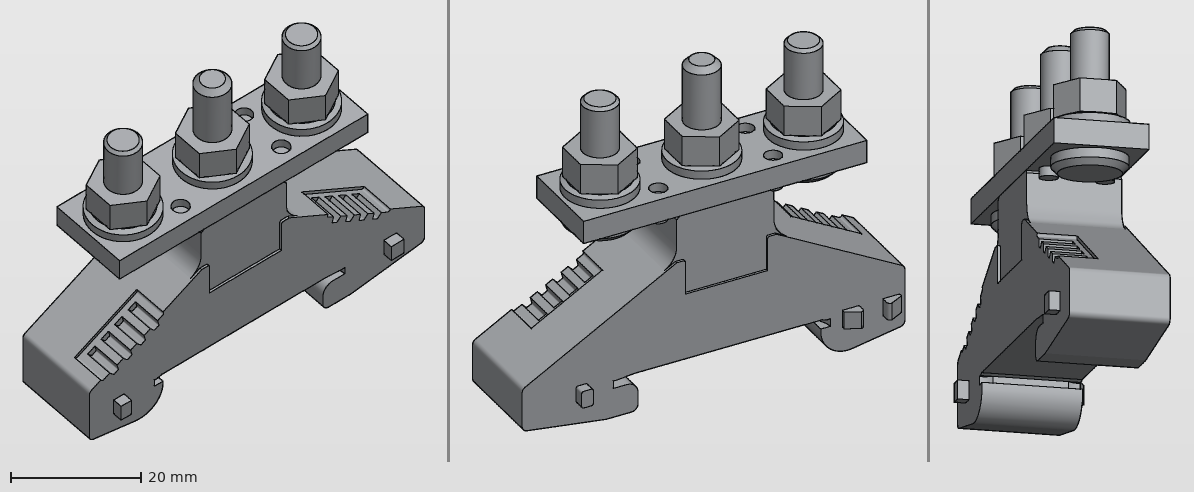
import cadquery as cq
import math

housing_width = 16.0
front_y = -31.2
back_y = 35.8
ridge_height = 29.5
slope_angle = 28.9
shoulder_z = 24.65
corner_radius = 1.0

recess_roof_z = 6.85
slot_top_z = 6.55
slot_floor_z = 5.2
front_slot_y = -17.5
back_slot_y = 19.15
front_roof_end_y = -16.75
back_roof_end_y = 16.1
slot_flare_depth = 0.7
slot_flare_length = 2.0

front_hook_y = -16.5
front_hook_radius = 4.7
front_sole_angle = 9.7
back_hook_y = 15.5
back_hook_upper_radius = 2.0
back_hook_lower_radius = 1.2
back_sole_y = 21.1
back_corner_z = 2.15

neck_half_length = 8.5
neck_fillet = 4.15
neck_chamfer = 0.55
side_recess_half_length = 7.2
side_recess_z = 18.55
side_recess_radius = 0.4

pocket_start_y = 16.5
pocket_length = 14.2
pocket_depth = 0.55
pocket_x = 1.7
pocket_radius = 0.4
groove_count = 4
groove_start = 1.55
groove_pitch = 3.1
groove_width = 1.7
groove_depth = 1.15
groove_x = 2.7
groove_draft = 15.0
groove_radius = 0.2

tab_reach = 1.8
tab_low_z = 4.5
tab_height = 3.0
round_tab_y = 25.3
round_tab_length = 2.1
round_tab_radius = 0.4
square_tabs = [(28.9, 2.55), (-25.3, 2.1)]
latch_middle_y = -25.25
latch_gap = 4.15
latch_length = 2.95
latch_shoulder = 0.6
latch_radius = 0.6

plate_width = 15.15
plate_length = 49.6
plate_low_z = 32.6
plate_thickness = 4.0
peg_x = 4.5
peg_y = 10.05
peg_radius = 1.5
peg_height = 1.55

stud_spacing = 17.8
stud_radius = 3.0
outer_stud_top = 52.7
outer_stud_chamfer = 0.55
centre_stud_top = 54.55
centre_stud_chamfer = 1.0
nut_flats = 10.0
nut_height = 5.3
washer_radius = 6.15
washer_top_radius = 5.2
washer_rim_height = 1.5
outer_washer_height = 1.9
centre_washer_height = 1.7
head_radius = 6.0
head_height = 2.55
head_chamfer = 1.0

half_width = housing_width / 2
neck_half_width = plate_width / 2
plate_top_z = plate_low_z + plate_thickness
slope = math.radians(slope_angle)


def roof_z(y):
    """Height of the housing's sloping roof at a given Y."""
    return ridge_height - abs(y) * math.tan(slope)


def roof_y(z):
    """Distance from Y = 0 at which the sloping roof reaches a given height."""
    return (ridge_height - z) / math.tan(slope)


def housing_block():
    """Saddle outline with a hook at each end of the rail recess."""
    sole = math.radians(front_sole_angle)
    arc_y = front_hook_y - front_hook_radius
    arc_z = front_hook_radius

    def on_front_hook(angle):
        return (arc_y + front_hook_radius * math.sin(angle), arc_z - front_hook_radius * math.cos(angle))

    sole_start = on_front_hook(-sole)
    front_corner_z = sole_start[1] + (sole_start[0] - front_y) * math.tan(sole)
    block = (
        cq.Workplane("YZ", origin=(-half_width, 0, 0))
        .moveTo(front_y, front_corner_z)
        .lineTo(*sole_start)
        .threePointArc(on_front_hook(math.pi / 4), (front_hook_y, front_hook_radius))
        .lineTo(front_hook_y, slot_floor_z)
        .lineTo(front_slot_y, slot_floor_z)
        .lineTo(front_slot_y, slot_top_z)
        .lineTo(front_roof_end_y, recess_roof_z)
        .lineTo(back_roof_end_y, recess_roof_z)
        .lineTo(back_slot_y, slot_top_z)
        .lineTo(back_slot_y, slot_floor_z)
        .lineTo(back_hook_y + back_hook_upper_radius, slot_floor_z)
        .radiusArc((back_hook_y, slot_floor_z - back_hook_upper_radius), -back_hook_upper_radius)
        .lineTo(back_hook_y, back_hook_lower_radius)
        .radiusArc((back_hook_y + back_hook_lower_radius, 0), -back_hook_lower_radius)
        .lineTo(back_sole_y, 0)
        .lineTo(back_y, back_corner_z)
        .lineTo(back_y, roof_z(back_y))
        .lineTo(roof_y(shoulder_z), shoulder_z)
        .lineTo(-roof_y(shoulder_z), shoulder_z)
        .lineTo(front_y, roof_z(front_y))
        .close()
        .extrude(housing_width)
    )
    return block.edges("|X and (<Y or >Y)").fillet(corner_radius)


def neck():
    """Block under the plate, blended into both slopes by concave fillets."""
    corner_z = roof_z(neck_half_length)
    tangent = neck_fillet * math.tan((math.pi / 2 - slope) / 2)
    foot_y = neck_half_length + tangent * math.cos(slope)
    foot_z = corner_z - tangent * math.sin(slope)
    return (
        cq.Workplane("YZ", origin=(-neck_half_width, 0, 0))
        .moveTo(-foot_y, foot_z)
        .lineTo(foot_y, foot_z)
        .radiusArc((neck_half_length, corner_z + tangent), neck_fillet)
        .lineTo(neck_half_length, plate_low_z - neck_chamfer)
        .lineTo(neck_half_length - neck_chamfer, plate_low_z)
        .lineTo(-neck_half_length + neck_chamfer, plate_low_z)
        .lineTo(-neck_half_length, plate_low_z - neck_chamfer)
        .lineTo(-neck_half_length, corner_z + tangent)
        .radiusArc((-foot_y, foot_z), neck_fillet)
        .close()
        .extrude(plate_width)
    )


def side_recess():
    """Shallow recess that continues the -X flank of the neck down into the housing."""
    half = side_recess_half_length
    radius = side_recess_radius
    return (
        cq.Workplane("YZ", origin=(-half_width, 0, 0))
        .moveTo(-half - radius, shoulder_z)
        .radiusArc((-half, shoulder_z - radius), radius)
        .lineTo(-half, side_recess_z)
        .lineTo(half, side_recess_z)
        .lineTo(half, shoulder_z - radius)
        .radiusArc((half + radius, shoulder_z), radius)
        .close()
        .extrude(half_width - neck_half_width)
    )


def slot_flare(wall_y, direction):
    """Rounded widening of a rail slot's end wall towards the -X side."""
    radius = (slot_flare_length**2 + slot_flare_depth**2) / (2 * slot_flare_depth)
    return (
        cq.Workplane("XY", origin=(0, 0, slot_floor_z))
        .moveTo(-half_width, wall_y)
        .lineTo(-half_width + slot_flare_length, wall_y)
        .radiusArc((-half_width, wall_y + direction * slot_flare_depth), -direction * radius)
        .close()
        .extrude(slot_top_z - slot_floor_z)
    )


def pocket_recess():
    """Flat cutter for the pocket: its length runs along -Y from 0, its depth along -Z from 0."""
    return (
        cq.Workplane("XY")
        .box(half_width - pocket_x, pocket_length, pocket_depth, centered=False)
        .edges("|X and <Z")
        .fillet(pocket_radius)
        .translate((pocket_x, -pocket_length, -pocket_depth))
    )


def groove(start):
    """Flat cutter for one groove with drafted walls, sunk into the pocket floor."""
    draft_run = groove_depth * math.tan(math.radians(groove_draft))
    end = start + groove_width
    floor = -pocket_depth - groove_depth
    return (
        cq.Workplane("YZ", origin=(groove_x, 0, 0))
        .moveTo(-start, -pocket_depth)
        .lineTo(-start - draft_run, floor)
        .lineTo(-end + draft_run, floor)
        .lineTo(-end, -pocket_depth)
        .close()
        .extrude(half_width - groove_x)
        .edges("|X and <Z")
        .fillet(groove_radius)
    )


def grip_pocket():
    """Cutter for the grooved pocket: made flat, then tilted onto the -Y slope."""
    cutter = pocket_recess()
    for index in range(groove_count):
        cutter = cutter.union(groove(groove_start + index * groove_pitch))
    tilted = cutter.rotate((0, 0, 0), (1, 0, 0), slope_angle)
    return tilted.translate((0, -pocket_start_y, roof_z(pocket_start_y)))


def round_tab():
    return (
        cq.Workplane("XY")
        .box(tab_reach, round_tab_length, tab_height)
        .edges("|X")
        .fillet(round_tab_radius)
        .translate((-half_width - tab_reach / 2, round_tab_y, tab_low_z + tab_height / 2))
    )


def square_tab(centre_y, length):
    return (
        cq.Workplane("XY")
        .box(tab_reach, length, tab_height)
        .translate((half_width + tab_reach / 2, centre_y, tab_low_z + tab_height / 2))
    )


def latch():
    """Barbed tab on the -X side whose nose points towards -Y."""
    start_y = latch_middle_y + latch_gap / 2 + latch_length
    end_y = start_y - latch_length
    tip_x = -half_width - tab_reach
    return (
        cq.Workplane("XY", origin=(0, 0, tab_low_z))
        .moveTo(-half_width, start_y)
        .lineTo(-half_width - latch_shoulder, start_y)
        .lineTo(tip_x, end_y + latch_radius)
        .radiusArc((tip_x + latch_radius, end_y), -latch_radius)
        .lineTo(-half_width, end_y)
        .close()
        .extrude(tab_height)
    )


def stud(low_z, top_z, chamfer):
    return (
        cq.Workplane("XY", origin=(0, 0, low_z))
        .circle(stud_radius)
        .extrude(top_z - low_z)
        .faces(">Z")
        .chamfer(chamfer)
    )


def washer_and_nut(washer_height):
    """Washer with a conical top, and the hexagon nut standing on it."""
    rim_z = plate_top_z + washer_rim_height
    nut_z = plate_top_z + washer_height
    washer = (
        cq.Workplane("XZ")
        .moveTo(0, plate_top_z)
        .lineTo(washer_radius, plate_top_z)
        .lineTo(washer_radius, rim_z)
        .lineTo(washer_top_radius, nut_z)
        .lineTo(0, nut_z)
        .close()
        .revolve(360, (0, 0, 0), (0, 1, 0))
    )
    nut = (
        cq.Workplane("XY", origin=(0, 0, nut_z))
        .polygon(6, nut_flats / math.cos(math.pi / 6))
        .extrude(nut_height)
    )
    return washer.union(nut)


def outer_bolt(y):
    """Bolt through the plate: chamfered head below, washer and nut above."""
    head = (
        cq.Workplane("XY", origin=(0, 0, plate_low_z - head_height))
        .circle(head_radius)
        .extrude(head_height)
        .faces("<Z")
        .chamfer(head_chamfer)
    )
    bolt = head.union(stud(plate_low_z, outer_stud_top, outer_stud_chamfer))
    return bolt.union(washer_and_nut(outer_washer_height)).translate((0, y, 0))


def centre_stud():
    """Stud rooted in the neck, with the washer and nut above the plate."""
    shaft = stud(shoulder_z, centre_stud_top, centre_stud_chamfer)
    return shaft.union(washer_and_nut(centre_washer_height))


def make_housing():
    """Housing with its neck, tabs and the fixed centre stud that clamps the plate."""
    recess = side_recess()
    pocket = grip_pocket()
    body = housing_block()
    body = body.cut(recess).cut(recess.mirror("YZ"))
    body = body.cut(pocket).cut(pocket.mirror("XZ"))
    for wall_y, direction in [(front_slot_y, -1), (back_slot_y, 1)]:
        flare = slot_flare(wall_y, direction)
        body = body.cut(flare).cut(flare.mirror("YZ"))
    body = body.union(neck()).union(round_tab())
    for centre_y, length in square_tabs:
        body = body.union(square_tab(centre_y, length))
    barb = latch()
    body = body.union(barb).union(barb.mirror("XZ", (0, latch_middle_y, 0)))
    return body.union(centre_stud())


def make_plate():
    """Flat bar with three stud holes and four pegs pressed out of blind holes."""
    stud_points = [(0, -stud_spacing), (0, 0), (0, stud_spacing)]
    peg_points = [(x, y) for x in (-peg_x, peg_x) for y in (-peg_y, peg_y)]
    bar = (
        cq.Workplane("XY", origin=(0, 0, plate_low_z))
        .rect(plate_width, plate_length)
        .extrude(plate_thickness)
    )
    stud_holes = (
        cq.Workplane("XY", origin=(0, 0, plate_low_z))
        .pushPoints(stud_points)
        .circle(stud_radius)
        .extrude(plate_thickness)
    )
    pegs = (
        cq.Workplane("XY", origin=(0, 0, plate_low_z - peg_height))
        .pushPoints(peg_points)
        .circle(peg_radius)
        .extrude(peg_height)
    )
    blind_holes = pegs.translate((0, 0, plate_thickness))
    return bar.cut(stud_holes).cut(blind_holes).union(pegs)


housing = make_housing()
plate = make_plate()
outer_bolts = [outer_bolt(y) for y in (-stud_spacing, stud_spacing)]

result = cq.Compound.makeCompound([housing.val(), plate.val(), *[bolt.val() for bolt in outer_bolts]])